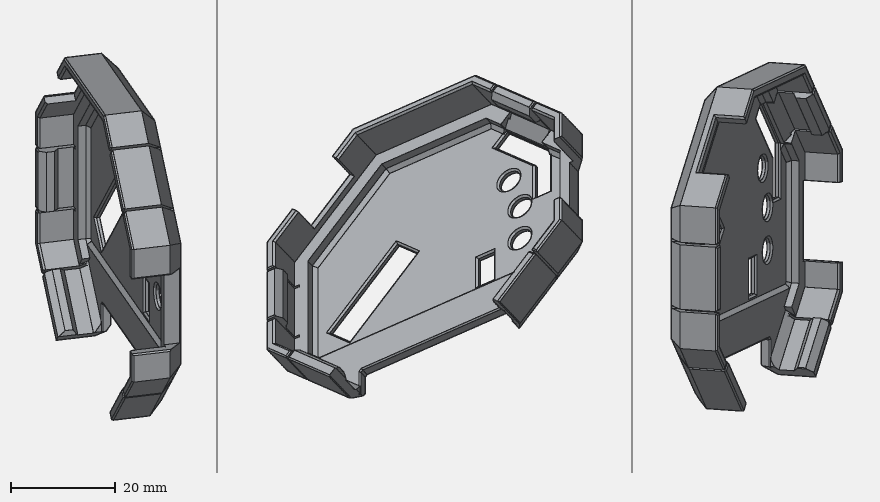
import cadquery as cq
import math


width = 67.06
apothem = width / 2
depth = 10.5
lowest_z = -27.99
back_chamfer = 3.0
clear = 10.0
overlap = 0.5

rim_thickness = 1.87
rim_outer_chamfer = 0.3
rim_inner_chamfer = 0.4
ledge_y = 7.1
ledge_inset = 4.85
plate_y = 8.65
pocket_depth = 0.8
pocket_y = plate_y + pocket_depth
pocket_bottom_z = -12.75

opening_left_x = -17.8
opening_right_x = 17.35
opening_top_z = -20.6
opening_corner = 0.6
opening_chamfer = 0.3

gap_start = -7.6
gap_end = 8.05
gap_inset = 2.65
gap_chamfer = 0.3

notch_start = -5.75
notch_end = 7.1
notch_y = 6.0
notch_inset = rim_thickness
notch_chamfer = 0.4

slit_width = 0.5
slit_depth = 2.9
slit_chamfer = 0.25

left_arm_start = -6.5
left_arm_end = 6.5
upper_arm_start = -6.9
upper_arm_end = 5.75
lower_left_slit = 7.37
lower_right_slit = -5.8
lower_arm_end = 6.25
ledge_end_gap = 0.25

hook_inset = 2.9
hook_root_y = 4.0
hook_lead_y = 1.4
hook_flat_y = 3.0
upper_hook_lead_y = 1.2
upper_hook_flat_y = 3.3

left_face_width = rim_thickness
upper_face_width = 1.65
lower_left_face_width = 2.0
lower_right_face_width = 1.75

lower_left_root_inset = 3.4
lower_right_root_inset = 3.8

window_chamfer = 0.4
slot_center = (-15.4, -0.9)
slot_length = 22.5
slot_width = 7.4
small_window_center = (10.2, -7.6)
small_window_size = (4.4, 8.0)
hole_diameter = 4.7
hole_chamfer = 0.4
hole_centers = [(15.53, 12.57), (18.04, 4.53), (18.04, -3.76)]

elbow_left_x = 20.95
elbow_right_x = 25.2
elbow_bottom_z = 4.92
elbow_outer_inset = 4.4
elbow_width = 4.7
elbow_end = -7.85

diag = math.sqrt(0.5)
LEFT = (-1, 0)
RIGHT = (1, 0)
UPPER_LEFT = (-diag, diag)
UPPER_RIGHT = (diag, diag)
LOWER_LEFT = (-diag, -diag)
LOWER_RIGHT = (diag, -diag)


def outline_plane(y):
    """Plane at height y whose local axes are X and Z."""
    return cq.Plane(origin=(0, y, 0), xDir=(1, 0, 0), normal=(0, -1, 0))


def slab(points, y_start, y_end, taper=0):
    """Extrude an (x, z) outline from y_start to y_end; a positive taper narrows it towards y_end."""
    return cq.Workplane(outline_plane(y_start)).polyline(points).close().extrude(y_start - y_end, taper=taper)


def octagon(inset):
    """Corner points of the outer octagon moved inwards by inset."""
    radius = (apothem - inset) / math.cos(math.pi / 8)
    angles = [math.pi / 8 + i * math.pi / 4 for i in range(8)]
    return [(radius * math.cos(a), radius * math.sin(a)) for a in angles]


def point_on_side(side, inset, along):
    """(x, z) of a point given by its inset and its distance along a side."""
    nx, nz = side
    reach = apothem - inset
    return (reach * nx + along * nz, reach * nz - along * nx)


def side_prism(side, profile, start, end):
    """Extrude an (inset, y) profile along a side of the octagon from start to end."""
    nx, nz = side
    x, z = point_on_side(side, 0, start)
    plane = cq.Plane(origin=(x, 0, z), xDir=(-nx, 0, -nz), normal=(nz, 0, -nx))
    return cq.Workplane(plane).polyline(profile).close().extrude(end - start)


def side_block(side, inset, y_end, start, end):
    """Rectangular cutter through a wall, open outwards and towards -Y."""
    profile = [(-clear, -clear), (inset, -clear), (inset, y_end), (-clear, y_end)]
    return side_prism(side, profile, start, end)


def side_recess(side, inset, y_end, start, end, chamfer):
    """Rectangular cutter through a wall that also chamfers the outer edges of the recess."""
    nx, nz = side
    x, z = point_on_side(side, 0, 0)
    plane = cq.Plane(origin=(x, 0, z), xDir=(-nz, 0, nx), normal=(-nx, 0, -nz))
    y_open = -clear
    y_wide = y_end + chamfer
    outline = [
        (-start + chamfer, y_open),
        (-start + chamfer, y_wide),
        (-end - chamfer, y_wide),
        (-end - chamfer, y_open),
    ]
    bevel = cq.Workplane(plane).polyline(outline).close().extrude(chamfer, taper=45)
    return side_block(side, inset, y_end, start, end).union(bevel)


def chamfered_window(outline, y_front, chamfer, y_start):
    """Cutter open from y_start to the back, widened to the outline by a chamfer at y_front."""
    bevel = slab(outline, y_front, y_front + chamfer, 45)
    front = cq.Workplane(outline_plane(y_start)).polyline(outline).close()
    opening = front.offset2D(-chamfer, "intersection")
    return bevel.union(opening.extrude(y_start - depth - clear))


def rectangle(center, size, angle=0):
    """Corner points of a rectangle turned by an angle in degrees."""
    cos_a = math.cos(math.radians(angle))
    sin_a = math.sin(math.radians(angle))
    corners = []
    for side_u, side_v in [(-1, -1), (1, -1), (1, 1), (-1, 1)]:
        u = side_u * size[0] / 2
        v = side_v * size[1] / 2
        corners.append((center[0] + u * cos_a - v * sin_a, center[1] + u * sin_a + v * cos_a))
    return corners


def make_pocket():
    """Pocket with sloping sides that follows the ledge and ends above the lower strip."""
    outline = [point for point in octagon(ledge_inset) if point[1] > pocket_bottom_z]
    side_x = apothem - ledge_inset
    lowest_corner_z = -side_x * math.tan(math.pi / 8)
    bottom_x = side_x - (lowest_corner_z - pocket_bottom_z)
    outline[-1:-1] = [(-bottom_x, pocket_bottom_z), (bottom_x, pocket_bottom_z)]
    return slab(outline, plate_y, pocket_y, 45)


def make_shell():
    """Octagonal tray with a chamfered back, stepped ledge and sunken pocket."""
    shell = slab(octagon(0), 0, depth)
    shell = shell.faces(">Y").chamfer(back_chamfer)
    shell = shell.faces("<Y").chamfer(rim_outer_chamfer)
    shell = shell.cut(slab(octagon(rim_thickness), 0, ledge_y))
    shell = shell.cut(slab(octagon(rim_thickness - rim_inner_chamfer), 0, rim_inner_chamfer, 45))
    shell = shell.cut(slab(octagon(ledge_inset), 0, plate_y))
    return shell.cut(make_pocket())


def make_lower_opening():
    """Cutter for the opening between the two lower arms."""
    left = opening_left_x - opening_chamfer
    right = opening_right_x + opening_chamfer
    top = opening_top_z + opening_chamfer
    bottom = -apothem - clear
    outline = [
        (left, bottom),
        (right, bottom),
        (right, top - opening_corner),
        (right - opening_corner, top),
        (left + opening_corner, top),
        (left, top - opening_corner),
    ]
    return chamfered_window(outline, plate_y, opening_chamfer, -clear)


def make_elbow_window():
    """Cutter for the elbow window: a vertical leg and a leg along the upper right arm."""
    inner_inset = elbow_outer_inset + elbow_width
    inner_sum = (apothem - inner_inset) / diag
    outer_sum = (apothem - elbow_outer_inset) / diag
    outline = [
        (elbow_left_x, elbow_bottom_z),
        (elbow_right_x, elbow_bottom_z),
        (elbow_right_x, outer_sum - elbow_right_x),
        point_on_side(UPPER_RIGHT, elbow_outer_inset, elbow_end),
        point_on_side(UPPER_RIGHT, inner_inset, elbow_end),
        (elbow_left_x, inner_sum - elbow_left_x),
    ]
    return chamfered_window(outline, pocket_y, window_chamfer, ledge_y)


def make_hole(center):
    """Cutter for a round hole with a chamfered front edge."""
    hole = cq.Workplane(outline_plane(pocket_y)).center(*center)
    bevel = hole.circle(hole_diameter / 2 + hole_chamfer).extrude(-hole_chamfer, taper=45)
    return hole.circle(hole_diameter / 2).extrude(-clear).union(bevel)


def make_root_slope(side, start, end, plate_inset):
    """Cutter that replaces the ledge behind an arm by a slope down to the plate."""
    far = ledge_inset + overlap
    profile = [(rim_thickness, ledge_y), (plate_inset, plate_y), (far, plate_y), (far, ledge_y)]
    return side_prism(side, profile, start, end)


def make_hook(side, start, end, face_width, lead_y, flat_y):
    """Snap hook on the inner face of an arm: lead-in, flat crest and undercut."""
    embedded = rim_thickness / 2
    profile = [
        (embedded, 0),
        (face_width, 0),
        (hook_inset, lead_y),
        (hook_inset, flat_y),
        (rim_thickness, hook_root_y),
        (embedded, hook_root_y),
    ]
    return side_prism(side, profile, start, end)


def make_slit(side, middle):
    """Cutter for a slit through the wall with chamfered front edges."""
    half = slit_width / 2
    wide = half + slit_chamfer
    bevel_inset = rim_thickness + slit_chamfer
    outline = [
        point_on_side(side, -clear, middle - wide),
        point_on_side(side, bevel_inset, middle - wide),
        point_on_side(side, bevel_inset, middle + wide),
        point_on_side(side, -clear, middle + wide),
    ]
    bevel = slab(outline, 0, slit_chamfer, 45)
    return side_block(side, slit_depth, depth + clear, middle - half, middle + half).union(bevel)


result = make_shell()

half_slit = slit_width / 2
lower_left_ledge = lower_left_slit + half_slit + ledge_end_gap
lower_right_ledge = lower_right_slit - half_slit - ledge_end_gap
slopes = [
    (LOWER_LEFT, -lower_arm_end - clear, lower_left_ledge, lower_left_root_inset),
    (LOWER_RIGHT, lower_right_ledge, lower_arm_end + clear, lower_right_root_inset),
    (UPPER_RIGHT, upper_arm_start - half_slit, upper_arm_end + half_slit, ledge_inset),
]
for slope in slopes:
    result = result.cut(make_root_slope(*slope))

hooks = [
    (LEFT, left_arm_start, left_arm_end, left_face_width, hook_lead_y, hook_flat_y),
    (UPPER_RIGHT, upper_arm_start, upper_arm_end, upper_face_width, upper_hook_lead_y, upper_hook_flat_y),
    (LOWER_LEFT, -lower_arm_end, lower_left_slit, lower_left_face_width, hook_lead_y, hook_flat_y),
    (LOWER_RIGHT, lower_right_slit, lower_arm_end, lower_right_face_width, hook_lead_y, hook_flat_y),
]
for hook in hooks:
    result = result.union(make_hook(*hook))

slits = [
    (LEFT, left_arm_start),
    (LEFT, left_arm_end),
    (UPPER_RIGHT, upper_arm_start),
    (UPPER_RIGHT, upper_arm_end),
    (LOWER_LEFT, lower_left_slit),
    (LOWER_RIGHT, lower_right_slit),
]
for side, middle in slits:
    result = result.cut(make_slit(side, middle))

result = result.cut(make_lower_opening())

through = depth + clear
result = result.cut(side_block(LOWER_LEFT, ledge_inset, through, -lower_arm_end - clear, -lower_arm_end))
result = result.cut(side_block(LOWER_RIGHT, ledge_inset, through, lower_arm_end, lower_arm_end + clear))
result = result.cut(slab(rectangle((0, lowest_z - clear / 2), (width, clear)), -clear, through))

result = result.cut(side_recess(RIGHT, gap_inset, through, gap_start, gap_end, gap_chamfer))
result = result.cut(side_recess(UPPER_LEFT, notch_inset, notch_y, notch_start, notch_end, notch_chamfer))

slot = rectangle(slot_center, (slot_length, slot_width), 45)
small_window = rectangle(small_window_center, small_window_size)
for outline in (slot, small_window):
    result = result.cut(chamfered_window(outline, pocket_y, window_chamfer, pocket_y))
result = result.cut(make_elbow_window())
for center in hole_centers:
    result = result.cut(make_hole(center))